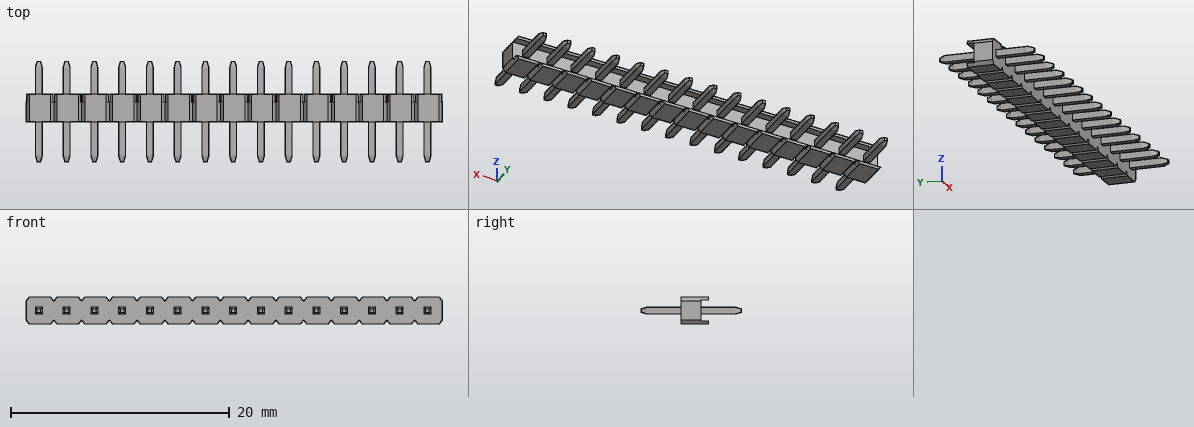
import cadquery as cq

pin_count = 15
pitch = 2.54
strip_length = pin_count * pitch
strip_height = 2.5
strip_depth = 2.54
cell_bevel_run = 0.3
cell_bevel_drop = 0.37

slot_depth = 0.7
lip_thickness = 0.3
slot_height = strip_height - 2 * lip_thickness

pin_width = 0.64
pin_length = 9.19
tip_length = 0.54
tip_width = pin_width / 2
pin_front_reach = 3.65
pin_offset = 0.1
first_pin_x = pitch / 2 - pin_offset
shank_length = pin_length - 2 * tip_length

pin_front_y = -pin_front_reach
pin_back_y = pin_front_y + pin_length


def make_cell(left_x):
    """Octagonal block; neighbouring bevels form the V notches of the strip."""
    right_x = left_x + pitch
    top_z = strip_height / 2
    shoulder_z = top_z - cell_bevel_drop
    outline = [
        (left_x, -shoulder_z),
        (left_x + cell_bevel_run, -top_z),
        (right_x - cell_bevel_run, -top_z),
        (right_x, -shoulder_z),
        (right_x, shoulder_z),
        (right_x - cell_bevel_run, top_z),
        (left_x + cell_bevel_run, top_z),
        (left_x, shoulder_z),
    ]
    return cq.Workplane("XZ").polyline(outline).close().extrude(-strip_depth)


def make_housing():
    housing = make_cell(0)
    for index in range(1, pin_count):
        housing = housing.union(make_cell(index * pitch))
    slot = cq.Workplane("XY").box(strip_length, slot_depth, slot_height, centered=(False, False, True))
    return housing.cut(slot.translate((0, strip_depth - slot_depth, 0)))


def make_tip(base_y, direction):
    """Tapered pin end, starting at base_y and narrowing along +Y or -Y."""
    return (
        cq.Workplane(cq.Plane(origin=(0, base_y, 0), xDir=(1, 0, 0), normal=(0, direction, 0)))
        .rect(pin_width, pin_width)
        .workplane(offset=tip_length)
        .rect(tip_width, tip_width)
        .loft(ruled=True)
    )


def make_pin():
    shank_front_y = pin_front_y + tip_length
    shank_back_y = pin_back_y - tip_length
    shank = cq.Workplane("XY").box(pin_width, shank_length, pin_width, centered=(True, False, True))
    shank = shank.translate((0, shank_front_y, 0))
    return shank.union(make_tip(shank_front_y, -1)).union(make_tip(shank_back_y, 1))


result = make_housing()
pin = make_pin()
for pin_index in range(pin_count):
    result = result.union(pin.translate((first_pin_x + pin_index * pitch, 0, 0)))